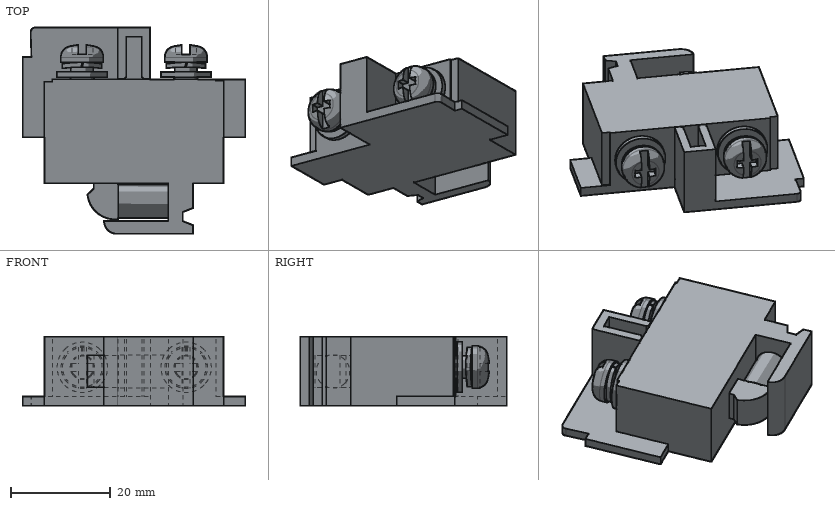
import cadquery as cq
import math


overall_width = 45.0
overall_depth = 41.7
height = 14.0
block_width = 36.2
block_front = 10.2
block_back = 31.25
corner_step_width = 1.6
left_step_depth = 0.45
right_step_depth = 0.3

plate_thickness = 1.9
plate_front = 19.55
plate_shoulder = 35.78
shoulder_inset = 1.75
tip_inset = 1.58
plate_corner_radius = 1.0

tower_width = 6.5
tower_gap = 0.15
pocket_width = 3.05
tower_end_wall = 1.9
mouth_chamfer = 0.4

web_left = 6.9
web_right = 11.92
foot_thickness = 2.65
foot_tip = -6.08
notch_floor_x = 9.85
notch_outer_bottom = 1.8
notch_inner_bottom = 2.6
notch_inner_top = 4.4
notch_outer_top = 5.2

catch_thickness = 6.5
catch_right = -3.2
catch_left = -8.15
catch_neck_end = 9.2
catch_nose_y = 7.95
catch_arc_radius = 5.62
catch_arc_x = -3.82
catch_bottom = 2.92

spring_diameter = 6.75

screw_spacing = 20.95
screw_z = 7.85
collar_diameter = 4.9
shank_diameter = 4.55
washer_diameter = 10.15
washer_base = 0.45
washer_thickness = 1.1
lock_diameter = 8.0
lock_base = 2.48
lock_thickness = 0.95
lock_bow = 0.25
split_width = 0.22
split_lean = 0.35
head_diameter = 8.6
head_base = 3.45
head_rim_height = 1.05
head_edge_radius = 2.2
head_crown_radius = 9.0
slot_width = 1.6
slot_floor = 5.05
cross_length = 4.25

plate_left = -overall_width / 2
plate_right = overall_width / 2
block_left = -block_width / 2
block_right = block_width / 2
tower_right = tower_width / 2
middle_z = height / 2
catch_center_y = (block_front + catch_bottom) / 2


def box(x0, x1, y0, y1, z0, z1):
    """Box between two corners."""
    return cq.Workplane("XY").box(x1 - x0, y1 - y0, z1 - z0, centered=False).translate((x0, y0, z0))


def make_block():
    """Main block with a shallow step at each back corner, above the base plate."""
    block = box(block_left, block_right, block_front, block_back, 0, height)
    left_step = box(
        block_left, block_left + corner_step_width,
        block_back - left_step_depth, block_back, plate_thickness, height,
    )
    right_step = box(
        block_right - corner_step_width, block_right,
        block_back - right_step_depth, block_back, plate_thickness, height,
    )
    return block.cut(left_step).cut(right_step)


def make_plate():
    """Base plate: a tab on either side and a shelf behind the left half of the block."""
    shelf_corner = (plate_left + tip_inset, overall_depth)
    plate = (
        cq.Workplane("XY")
        .moveTo(plate_left, plate_front)
        .lineTo(plate_right, plate_front)
        .lineTo(plate_right, block_back)
        .lineTo(tower_right, block_back)
        .lineTo(tower_right, overall_depth)
        .lineTo(*shelf_corner)
        .lineTo(plate_left + shoulder_inset, plate_shoulder)
        .lineTo(plate_left, plate_shoulder)
        .close()
        .extrude(plate_thickness)
    )
    corner = cq.selectors.NearestToPointSelector((*shelf_corner, plate_thickness / 2))
    return plate.edges(corner).fillet(plate_corner_radius)


def make_tower():
    """U-shaped wall, open towards the block and separated from it by a narrow gap."""
    mouth = block_back + tower_gap
    half_pocket = pocket_width / 2
    half_mouth = half_pocket + mouth_chamfer
    return (
        cq.Workplane("XY")
        .moveTo(-tower_right, mouth)
        .lineTo(-tower_right, overall_depth)
        .lineTo(tower_right, overall_depth)
        .lineTo(tower_right, mouth)
        .lineTo(half_mouth, mouth)
        .lineTo(half_pocket, mouth + mouth_chamfer)
        .lineTo(half_pocket, overall_depth - tower_end_wall)
        .lineTo(-half_pocket, overall_depth - tower_end_wall)
        .lineTo(-half_pocket, mouth + mouth_chamfer)
        .lineTo(-half_mouth, mouth)
        .close()
        .extrude(height)
    )


def make_hook():
    """L-shaped hook with a quarter-round tip and a screwdriver notch in its outer side."""
    return (
        cq.Workplane("XY")
        .moveTo(web_left, block_front)
        .lineTo(web_left, foot_thickness)
        .lineTo(foot_tip, foot_thickness)
        .radiusArc((foot_tip + foot_thickness, 0), -foot_thickness)
        .lineTo(web_right, 0)
        .lineTo(web_right, notch_outer_bottom)
        .lineTo(notch_floor_x, notch_inner_bottom)
        .lineTo(notch_floor_x, notch_inner_top)
        .lineTo(web_right, notch_outer_top)
        .lineTo(web_right, block_front)
        .close()
        .extrude(height)
    )


def make_housing():
    return make_block().union(make_plate()).union(make_tower()).union(make_hook())


def make_catch():
    """Catch with a slanted shoulder and a rounded nose, centred on the block's height."""
    arc_y = catch_bottom + catch_arc_radius
    nose_x = catch_arc_x - math.sqrt(catch_arc_radius**2 - (arc_y - catch_nose_y) ** 2)
    return (
        cq.Workplane("XY", origin=(0, 0, middle_z - catch_thickness / 2))
        .moveTo(catch_right, block_front)
        .lineTo(catch_left, block_front)
        .lineTo(catch_left, catch_neck_end)
        .lineTo(nose_x, catch_nose_y)
        .radiusArc((catch_arc_x, catch_bottom), -catch_arc_radius)
        .lineTo(catch_right, catch_bottom)
        .close()
        .extrude(catch_thickness)
    )


def make_spring():
    """Spring as a plain cylinder between the catch and the web of the hook."""
    return (
        cq.Workplane("YZ", origin=(catch_right, catch_center_y, middle_z))
        .circle(spring_diameter / 2)
        .extrude(web_left - catch_right)
    )


def make_head():
    """Domed screw head with a through slot and a shorter cross slot."""
    head_radius = head_diameter / 2
    rim_top = head_base + head_rim_height
    edge_x = head_radius - head_edge_radius
    crown_center = rim_top - math.sqrt((head_crown_radius - head_edge_radius) ** 2 - edge_x**2)
    reach = head_crown_radius / (head_crown_radius - head_edge_radius)
    joint = (edge_x * reach, crown_center + (rim_top - crown_center) * reach)
    top = crown_center + head_crown_radius
    head = (
        cq.Workplane("XY")
        .moveTo(0, head_base)
        .lineTo(head_radius, head_base)
        .lineTo(head_radius, rim_top)
        .radiusArc(joint, -head_edge_radius)
        .radiusArc((0, top), -head_crown_radius)
        .close()
        .revolve(360, (0, 0, 0), (0, 1, 0))
    )
    half_slot = slot_width / 2
    slot = box(-half_slot, half_slot, slot_floor, top, -head_radius, head_radius)
    cross = box(-cross_length / 2, cross_length / 2, slot_floor, top, -half_slot, half_slot)
    return head.cut(slot).cut(cross)


def make_lock_washer():
    """Bowed spring washer around the shank, highest along its middle, with a slanted split on the +Z side."""
    radius = lock_diameter / 2
    edge_base = lock_base - lock_bow
    bowed_strip = (
        cq.Workplane("XY", origin=(0, 0, -radius))
        .moveTo(-radius, edge_base)
        .threePointArc((0, lock_base), (radius, edge_base))
        .lineTo(radius, edge_base + lock_thickness)
        .threePointArc((0, lock_base + lock_thickness), (-radius, edge_base + lock_thickness))
        .close()
        .extrude(lock_diameter)
    )
    top = lock_base + lock_thickness
    ring = (
        cq.Workplane("XZ", origin=(0, top, 0))
        .circle(radius)
        .circle(shank_diameter / 2)
        .extrude(top - edge_base)
    )
    bottom_x = -(split_lean + split_width) / 2
    split = (
        cq.Workplane("XY")
        .moveTo(bottom_x, edge_base)
        .lineTo(bottom_x + split_width, edge_base)
        .lineTo(bottom_x + split_width + split_lean, top)
        .lineTo(bottom_x + split_lean, top)
        .close()
        .extrude(lock_diameter)
    )
    return bowed_strip.intersect(ring.cut(split))


def make_screw(x):
    """Screw with its captive washers, standing on the back face of the block."""
    shank_radius = shank_diameter / 2
    washer_radius = washer_diameter / 2
    washer_top = washer_base + washer_thickness
    shank_and_washer = (
        cq.Workplane("XY")
        .lineTo(collar_diameter / 2, 0)
        .lineTo(shank_radius, washer_base)
        .lineTo(washer_radius, washer_base)
        .lineTo(washer_radius, washer_top)
        .lineTo(shank_radius, washer_top)
        .lineTo(shank_radius, head_base)
        .lineTo(0, head_base)
        .close()
        .revolve(360, (0, 0, 0), (0, 1, 0))
    )
    screw = shank_and_washer.union(make_lock_washer()).union(make_head())
    return screw.translate((x, block_back, screw_z))


housing = make_housing()
catch = make_catch()
spring = make_spring()
screws = [make_screw(x) for x in (-screw_spacing / 2, screw_spacing / 2)]

result = cq.Compound.makeCompound(
    [housing.solids().val(), catch.val(), spring.val(), *[screw.solids().val() for screw in screws]]
)